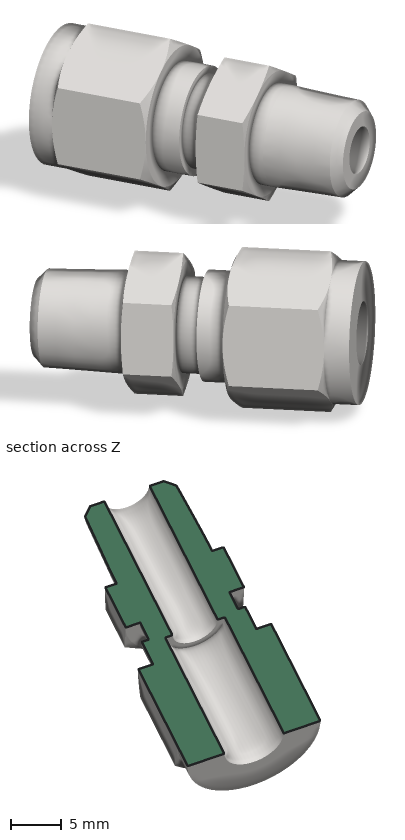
import cadquery as cq
import math


cap_end = 2.52
nut_end = 12.75
collar_end = 15.65
body_hex_start = 17.82
body_hex_end = 23.13
taper_start = 24.6
total_length = 32.75

nut_across_flats = 14.28
nut_bevel_angle = 30.0
body_hex_across_flats = 12.7
body_hex_bevel_angle = 12.0
collar_diameter = 11.15
neck_diameter = 9.63
thread_diameter = 10.3
thread_taper = 1 / 16
end_chamfer = 0.98

tube_socket_diameter = 6.35
tube_socket_depth = 15.2
bore_diameter = 4.8


def cylinder(diameter, start, end):
    """Round bar along X between two stations."""
    return cq.Workplane("YZ", origin=(start, 0, 0)).circle(diameter / 2).extrude(end - start)


def revolve_about_x(profile_points):
    """Solid of revolution about X from (x, radius) points."""
    return cq.Workplane("XY").polyline(profile_points).close().revolve(360, (0, 0, 0), (1, 0, 0))


def bevelled_hex(across_flats, start, end, bevel_angle):
    """Hexagonal prism with corners up and down, its corners bevelled conically at both ends."""
    flat_radius = across_flats / 2
    corner_radius = flat_radius / math.cos(math.radians(30))
    bevel_length = (corner_radius - flat_radius) * math.tan(math.radians(bevel_angle))
    prism = (
        cq.Workplane("YZ", origin=(start, 0, 0))
        .polygon(6, 2 * corner_radius)
        .extrude(end - start)
        .rotate((0, 0, 0), (1, 0, 0), 90)
    )
    envelope = revolve_about_x([
        (start, 0),
        (start, flat_radius),
        (start + bevel_length, corner_radius),
        (end - bevel_length, corner_radius),
        (end, flat_radius),
        (end, 0),
    ])
    return prism.intersect(envelope)


def thread_end():
    """Straight shank behind a tapered thread blank with a 45 degree end chamfer."""
    chamfer_start = total_length - end_chamfer
    shank_radius = thread_diameter / 2
    small_radius = shank_radius - thread_taper / 2 * (chamfer_start - taper_start)
    return revolve_about_x([
        (body_hex_end, 0),
        (body_hex_end, shank_radius),
        (taper_start, shank_radius),
        (chamfer_start, small_radius),
        (total_length, small_radius - end_chamfer),
        (total_length, 0),
    ])


nut_cap = cylinder(nut_across_flats, 0, cap_end)
nut_hex = bevelled_hex(nut_across_flats, cap_end, nut_end, nut_bevel_angle)

collar = cylinder(collar_diameter, nut_end, collar_end)
neck = cylinder(neck_diameter, collar_end, body_hex_start)
body_hex = bevelled_hex(
    body_hex_across_flats, body_hex_start, body_hex_end, body_hex_bevel_angle
)
outside = nut_cap.union(nut_hex).union(collar).union(neck).union(body_hex).union(thread_end())

tube_socket = cylinder(tube_socket_diameter, 0, tube_socket_depth)
bore = cylinder(bore_diameter, 0, total_length)
result = outside.cut(tube_socket).cut(bore)